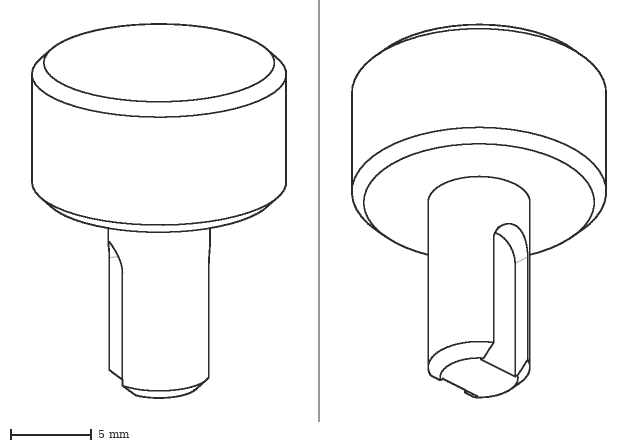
import cadquery as cq

total_height = 21.35
head_diameter = 15.88
head_height = 8.65
shaft_diameter = 6.35
edge_chamfer = 0.75
slot_width = 2.99
slot_length = 9.7
slot_floor_offset = 1.69

shaft_length = total_height - head_height
shaft_radius = shaft_diameter / 2
slot_radius = slot_width / 2


def make_head():
    """Round knob head, chamfered at both rims, sitting on top of the shaft."""
    return (
        cq.Workplane("XY")
        .workplane(offset=shaft_length)
        .circle(head_diameter / 2)
        .extrude(head_height)
        .edges()
        .chamfer(edge_chamfer)
    )


def make_shaft():
    """Round shaft with a chamfered tip at Z = 0."""
    return (
        cq.Workplane("XY")
        .circle(shaft_radius)
        .extrude(shaft_length)
        .faces("<Z")
        .edges()
        .chamfer(edge_chamfer)
    )


def make_slot_cutter():
    """Round-ended slot, open at the tip, reaching from the -Y floor outward."""
    arc_start_height = slot_length - slot_radius
    return (
        cq.Workplane("XZ")
        .workplane(offset=slot_floor_offset)
        .moveTo(-slot_radius, 0)
        .lineTo(slot_radius, 0)
        .lineTo(slot_radius, arc_start_height)
        .threePointArc((0, slot_length), (-slot_radius, arc_start_height))
        .close()
        .extrude(shaft_radius)
    )


front_slot = make_slot_cutter()
back_slot = front_slot.mirror("XZ")
shaft = make_shaft().cut(front_slot).cut(back_slot)

result = make_head().union(shaft)